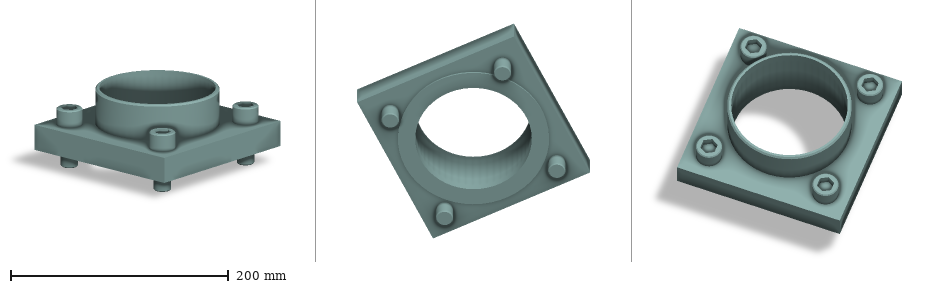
import cadquery as cq
import math

plate_side = 160.0
plate_thickness = 24.0

pipe_diameter = 114.3
bore_diameter = 107.1
pipe_height = 34.0
pipe_chamfer = 1.5

raised_face_diameter = 139.0
raised_face_height = 2.0

bolt_circle_diameter = 162.0
screw_diameter = 16.0
screw_protrusion = 16.0
screw_tip_chamfer = 1.0
head_diameter = 24.0
head_height = 16.0
head_chamfer = 1.0
socket_across_flats = 14.0
socket_depth = 8.0

pipe_top = plate_thickness + pipe_height
head_top = plate_thickness + head_height
bolt_offset = bolt_circle_diameter / 2 * math.cos(math.radians(45))


def cylinder(diameter, bottom, top):
    """Vertical cylinder on the Z axis between two heights."""
    return cq.Workplane("XY").workplane(offset=bottom).circle(diameter / 2).extrude(top - bottom)


def make_flange():
    """Plate with the raised face, the chamfered pipe stub and the through bore."""
    plate = cq.Workplane("XY").rect(plate_side, plate_side).extrude(plate_thickness)
    raised_face = cylinder(raised_face_diameter, -raised_face_height, 0)
    pipe = cylinder(pipe_diameter, 0, pipe_top).faces(">Z").chamfer(pipe_chamfer)
    bore = cylinder(bore_diameter, -raised_face_height, pipe_top)
    return plate.union(raised_face).union(pipe).cut(bore)


def make_screw():
    """Socket head cap screw on the Z axis, head seated on the plate."""
    shank = cylinder(screw_diameter, -screw_protrusion, plate_thickness)
    shank = shank.faces("<Z").chamfer(screw_tip_chamfer)
    head = cylinder(head_diameter, plate_thickness, head_top)
    head = head.faces(">Z").chamfer(head_chamfer)
    socket_across_corners = socket_across_flats / math.cos(math.radians(30))
    socket = (
        cq.Workplane("XY")
        .polygon(6, socket_across_corners)
        .extrude(socket_depth)
        .rotate((0, 0, 0), (0, 0, 1), 90)
        .translate((0, 0, head_top - socket_depth))
    )
    return shank.union(head).cut(socket)


result = make_flange()
screw = make_screw()
for side_x in (-1, 1):
    for side_y in (-1, 1):
        result = result.union(screw.translate((side_x * bolt_offset, side_y * bolt_offset, 0)))